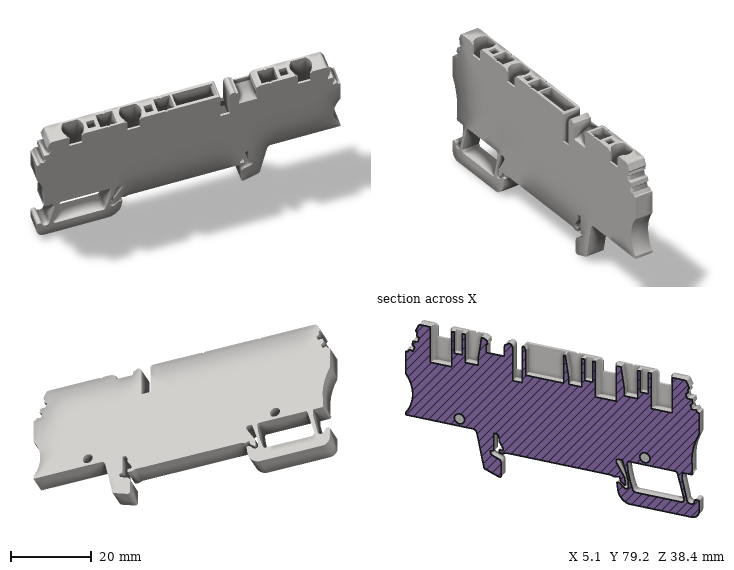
import cadquery as cq


THICKNESS = 5.1
LENGTH = 79.23
HEIGHT = 38.41
HALF_LENGTH = LENGTH / 2
SIDE_X = THICKNESS / 2

BODY_BOTTOM = 12.0
RAIL_FACE = 7.15
SHOULDER_Z = 30.1
SLOT_LEFT_Y = 10.7
SLOT_RIGHT_Y = 8.3
SLOT_CORNER = 0.4
RECESS_LEFT_Y = 17.4
RECESS_RIGHT_Y = 13.1
RECESS_RIM_DEPTH = 1.67

RAMP_WALL_X = -2.2
RAMP_START_X = -1.5
RAMP_START_DEPTH = 3.2
RAMP_END_DEPTH = 5.2
RAMP_UNDERCUT = 0.4

STATIONS = [(30.1, -1), (-14.4, 1), (-29.45, 1)]
ENTRY_RADIUS = 2.8
ENTRY_FLAT_X = 2.05
ENTRY_DEPTH = 10.0
SIDE_NOTCH_WIDTH = 3.3
SIDE_NOTCH_CHAMFER = 0.65
SIDE_NOTCH_DEPTH = 3.6
TEST_HOLE_OFFSET = 4.65
TEST_HOLE_SIZE = 2.05
TEST_HOLE_X = 0.38
TEST_HOLE_DEPTH = 6.0
CLAMP_NEAR = 6.55
CLAMP_FAR = 10.9
CLAMP_SLOPE = 0.9
CLAMP_SLOPE_DEPTH = 6.0
CLAMP_DEPTH = 8.0
CLAMP_MIN_X = -1.8
CLAMP_MAX_X = 2.05
GROOVE_OFFSET = 8.65
GROOVE_WIDTH = 0.65
GROOVE_DEPTH = 0.25

LONG_POCKET_LEFT_Y = 7.75
LONG_POCKET_RIGHT_Y = -3.0
LONG_POCKET_SLOPE = 0.6
LONG_POCKET_SLOPE_DEPTH = 1.0
LONG_POCKET_WIDTH = 3.6
LONG_POCKET_DEPTH = 8.0
SLOT_RECESS_MIN_X = -1.6
SLOT_RECESS_MAX_X = 2.05
SLOT_RECESS_DEPTH = 2.0

PIN_HOLES_Y = [25.1, -24.95]
PIN_HOLE_Z = 14.08
PIN_HOLE_RADIUS = 1.32
PIN_HOLE_DEPTH = 3.0

RIBS = [
    (0.54, SHOULDER_Z), (0.98, 30.8), (1.9, 30.5), (2.4, 31.6), (1.67, 32.2), (1.9, 33.4),
    (3.2, 33.4), (3.6, 34.5), (2.85, 35.1), (3.05, 35.8), (2.63, 36.4), (3.25, 37.7),
]
CORNER_ARC_MID = (3.55, 38.2)
CORNER_ARC_END = (4.1, HEIGHT)


def trace_outline():
    """Closed side outline, starting at the +Y shoulder and running along the top toward -Y."""
    path = cq.Workplane("YZ").moveTo(HALF_LENGTH, SHOULDER_Z)

    for inset, z in RIBS:
        path = path.lineTo(HALF_LENGTH - inset, z)
    path = path.threePointArc(
        (HALF_LENGTH - CORNER_ARC_MID[0], CORNER_ARC_MID[1]),
        (HALF_LENGTH - CORNER_ARC_END[0], CORNER_ARC_END[1]),
    )

    rim_z = HEIGHT - RECESS_RIM_DEPTH
    path = (
        path.lineTo(18.6, HEIGHT).lineTo(18.1, 38.1).lineTo(17.65, 37.85).lineTo(RECESS_LEFT_Y, rim_z)
        .lineTo(RECESS_RIGHT_Y, rim_z).lineTo(12.93, 37.8).lineTo(12.5, 37.8)
        .lineTo(11.85, HEIGHT).threePointArc((11.05, 38.1), (SLOT_LEFT_Y, 37.3))
        .lineTo(SLOT_LEFT_Y, SHOULDER_Z).lineTo(SLOT_RIGHT_Y, SHOULDER_Z)
        .lineTo(SLOT_RIGHT_Y, HEIGHT - SLOT_CORNER).lineTo(SLOT_RIGHT_Y - SLOT_CORNER, HEIGHT)
    )

    path = path.lineTo(-HALF_LENGTH + CORNER_ARC_END[0], HEIGHT).threePointArc(
        (-HALF_LENGTH + CORNER_ARC_MID[0], CORNER_ARC_MID[1]),
        (-HALF_LENGTH + RIBS[-1][0], RIBS[-1][1]),
    )
    for inset, z in reversed(RIBS[:-1]):
        path = path.lineTo(-HALF_LENGTH + inset, z)

    path = (
        path.lineTo(-HALF_LENGTH, SHOULDER_Z - 0.2).lineTo(-HALF_LENGTH, 23.86)
        .threePointArc((-38.3, 20.6), (-37.72, 15.0)).lineTo(-37.72, 12.9)
        .lineTo(-37.95, 12.5).lineTo(-37.6, BODY_BOTTOM).lineTo(-35.05, BODY_BOTTOM)
    )

    path = (
        path.lineTo(-35.05, 10.5).lineTo(-36.3, 4.8)
        .threePointArc((-37.3, 3.8), (-38.25, 4.4))
        .threePointArc((-38.45, 5.1), (-39.0, 5.3)).lineTo(-39.35, 5.3)
        .lineTo(-HALF_LENGTH, 5.0).lineTo(-HALF_LENGTH, 2.1)
        .threePointArc((-39.0, 0.6), (-37.6, 0)).lineTo(-20.6, 0)
        .threePointArc((-18.7, 1.1), (-17.6, 3.3)).lineTo(-17.3, 5.5).lineTo(-18.0, 5.65)
    )

    path = (
        path.lineTo(-19.4, 4.35).threePointArc((-20.1, 4.4), (-20.45, 4.85))
        .lineTo(-20.3, 6.95).lineTo(-18.8, BODY_BOTTOM).lineTo(-17.7, BODY_BOTTOM)
        .threePointArc((-17.25, 11.6), (-17.3, 11.05)).lineTo(-19.55, 7.25)
        .lineTo(-19.75, 5.4).lineTo(-19.5, 5.1).lineTo(-18.35, 6.05).lineTo(-18.05, RAIL_FACE)
        .lineTo(-16.8, 6.8).lineTo(-15.8, RAIL_FACE)
    )

    path = (
        path.lineTo(12.35, RAIL_FACE).lineTo(13.5, 6.7).lineTo(14.5, 6.85).lineTo(14.5, 7.75)
        .lineTo(13.45, 7.75).lineTo(13.3, 8.25).lineTo(14.4, 10.0).lineTo(14.55, 11.4)
        .lineTo(14.95, BODY_BOTTOM).lineTo(15.75, BODY_BOTTOM)
    )

    path = (
        path.lineTo(15.75, 7.1).lineTo(16.7, 6.85).lineTo(16.6, 6.1).lineTo(16.3, 5.8)
        .lineTo(14.6, 5.15).threePointArc((14.0, 4.7), (13.74, 4.0)).lineTo(13.74, 0.3)
        .lineTo(14.1, 0).lineTo(14.6, 0.05).lineTo(18.15, 1.35).lineTo(18.55, 1.7)
        .lineTo(20.4, 10.8).threePointArc((20.7, 11.55), (21.3, BODY_BOTTOM))
    )

    return (
        path.lineTo(HALF_LENGTH, BODY_BOTTOM).lineTo(HALF_LENGTH, 12.75)
        .threePointArc((37.8, 18.2), (HALF_LENGTH, 23.65)).close()
    )


def make_body():
    return trace_outline().extrude(SIDE_X, both=True)


def make_foot_window():
    """Opening between the two struts of the spring foot."""
    floor_z = 3.8
    window = (
        cq.Workplane("YZ").moveTo(-20.5, BODY_BOTTOM).lineTo(-33.35, BODY_BOTTOM)
        .lineTo(-33.65, 11.6).lineTo(-35.5, 4.5).lineTo(-35.0, floor_z).lineTo(-22.1, floor_z)
        .lineTo(-21.75, 4.25).threePointArc((-20.8, 7.5), (-20.2, 11.6)).close()
    )
    return window.extrude(SIDE_X, both=True)


def box_from_top(min_x, max_x, center_y, length, depth, top_z=HEIGHT):
    """Box reaching down from top_z, used to cut pockets."""
    floor_point = (min_x, center_y, top_z - depth)
    box = cq.Workplane("XY").box(max_x - min_x, length, depth, centered=(False, True, False))
    return box.translate(floor_point)


def sloped_pocket(min_x, max_x, sloped_y, plain_y, slope, slope_depth, depth):
    """Pocket whose wall at sloped_y leans inward down to slope_depth, then drops straight."""
    lean = slope if plain_y > sloped_y else -slope
    floor_z = HEIGHT - depth
    section = [
        (sloped_y, HEIGHT), (plain_y, HEIGHT), (plain_y, floor_z),
        (sloped_y + lean, floor_z), (sloped_y + lean, HEIGHT - slope_depth),
    ]
    return cq.Workplane("YZ").workplane(offset=min_x).polyline(section).close().extrude(max_x - min_x)


def make_side_notch(entry_y):
    """Opening through the +X wall beside a wire entry, widened by chamfers at the top."""
    half_width = SIDE_NOTCH_WIDTH / 2
    half_mouth = half_width + SIDE_NOTCH_CHAMFER
    floor_z = HEIGHT - SIDE_NOTCH_DEPTH
    neck_z = HEIGHT - SIDE_NOTCH_CHAMFER
    section = [
        (entry_y - half_mouth, HEIGHT), (entry_y - half_width, neck_z), (entry_y - half_width, floor_z),
        (entry_y + half_width, floor_z), (entry_y + half_width, neck_z), (entry_y + half_mouth, HEIGHT),
    ]
    return cq.Workplane("YZ").polyline(section).close().extrude(SIDE_X)


def make_station(entry_y, direction):
    """Wire entry, test hole and clamp pocket of one connection."""
    entry = cq.Workplane("XY", origin=(0, entry_y, HEIGHT)).circle(ENTRY_RADIUS).extrude(-ENTRY_DEPTH)
    flats = box_from_top(-ENTRY_FLAT_X, ENTRY_FLAT_X, entry_y, 2 * ENTRY_RADIUS, ENTRY_DEPTH)
    side_notch = make_side_notch(entry_y)

    half_hole = TEST_HOLE_SIZE / 2
    test_hole = box_from_top(
        TEST_HOLE_X - half_hole, TEST_HOLE_X + half_hole,
        entry_y + direction * TEST_HOLE_OFFSET, TEST_HOLE_SIZE, TEST_HOLE_DEPTH,
    )
    clamp = sloped_pocket(
        CLAMP_MIN_X, CLAMP_MAX_X, entry_y + direction * CLAMP_FAR,
        entry_y + direction * CLAMP_NEAR, CLAMP_SLOPE, CLAMP_SLOPE_DEPTH, CLAMP_DEPTH,
    )
    groove = box_from_top(-SIDE_X, SIDE_X, entry_y + direction * GROOVE_OFFSET, GROOVE_WIDTH, GROOVE_DEPTH)
    return [entry.intersect(flats), side_notch, test_hole, clamp, groove]


def make_recess_ramp():
    """Sloping floor of the marker recess, open on the +X side and undercutting its +Y lip."""
    left_y = RECESS_LEFT_Y + RAMP_UNDERCUT
    rim_z = HEIGHT - RECESS_RIM_DEPTH
    start_z = HEIGHT - RAMP_START_DEPTH
    section = [
        (RAMP_WALL_X, rim_z), (RAMP_WALL_X, start_z), (RAMP_START_X, start_z),
        (SIDE_X, HEIGHT - RAMP_END_DEPTH), (SIDE_X, rim_z),
    ]
    return (
        cq.Workplane("XZ", origin=(0, left_y, 0)).polyline(section).close()
        .extrude(left_y - RECESS_RIGHT_Y)
    )


def make_long_pocket():
    half_width = LONG_POCKET_WIDTH / 2
    return sloped_pocket(
        -half_width, half_width, LONG_POCKET_LEFT_Y, LONG_POCKET_RIGHT_Y,
        LONG_POCKET_SLOPE, LONG_POCKET_SLOPE_DEPTH, LONG_POCKET_DEPTH,
    )


def make_slot_recess():
    """Shallow recess in the floor of the deep slot."""
    return box_from_top(
        SLOT_RECESS_MIN_X, SLOT_RECESS_MAX_X, (SLOT_LEFT_Y + SLOT_RIGHT_Y) / 2,
        SLOT_LEFT_Y - SLOT_RIGHT_Y, SLOT_RECESS_DEPTH, SHOULDER_Z,
    )


def make_pin_holes():
    """Blind round holes in the -X face."""
    centers = [(y, PIN_HOLE_Z) for y in PIN_HOLES_Y]
    return (
        cq.Workplane("YZ", origin=(-SIDE_X, 0, 0)).pushPoints(centers)
        .circle(PIN_HOLE_RADIUS).extrude(PIN_HOLE_DEPTH)
    )


cutters = [make_foot_window(), make_recess_ramp(), make_long_pocket(), make_slot_recess(), make_pin_holes()]
for station_y, station_direction in STATIONS:
    cutters += make_station(station_y, station_direction)

result = make_body()
for cutter in cutters:
    result = result.cut(cutter)